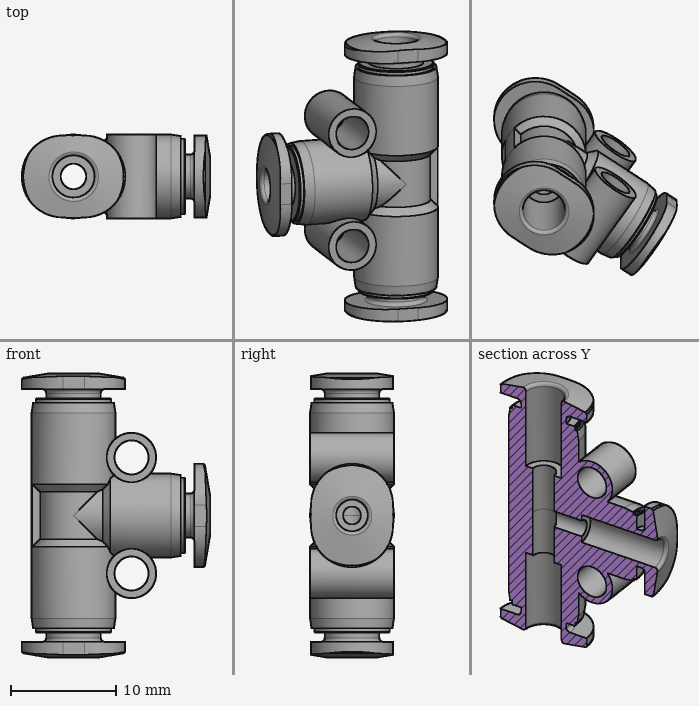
import cadquery as cq

RUN_REACH = 13.5
BRANCH_REACH = 13.0

BODY_RADIUS = 8.0 / 2
WAIST_RADIUS = 6.53 / 2
WAIST_SLOPE = BODY_RADIUS - WAIST_RADIUS
RUN_WAIST_HALF_LENGTH = 2.97
BRANCH_WAIST_END = 3.5
RIB_WIDTH = 1.55

COLLAR_DEPTH = 2.38
COLLAR_STEP_DEPTH = 2.78
TAPER_DEPTH = 3.75
COLLAR_RADIUS = 7.2 / 2
COLLAR_CHAMFER = 0.1
TAPER_RADIUS = 7.7 / 2

BUTTON_LENGTH = 9.83
BUTTON_WIDTH = 7.8
BUTTON_DEPTH = 1.5
BUTTON_CONE_RADIUS = 4.75
BUTTON_CONE_SLOPE = 0.17
BUTTON_EDGE_BEVEL = 0.15
NECK_FILLET = 0.38
RIM_ROUND = 0.35
RUN_NECK_RADIUS = 5.2 / 2
BRANCH_NECK_RADIUS = 4.2 / 2

RUN_SOCKET_RADIUS = 4.0 / 2
BRANCH_SOCKET_RADIUS = 3.0 / 2
SOCKET_LENGTH = 8.65
RUN_PASSAGE_RADIUS = 2.4 / 2
BRANCH_PASSAGE_RADIUS = 1.7 / 2

EYE_OFFSET = 5.5
EYE_RADIUS = 4.7 / 2
EYE_HOLE_RADIUS = 3.2 / 2


def revolve_z(profile):
    """Revolve a closed (radius, height) profile around Z."""
    return profile.close().revolve(360, (0, 0, 0), (0, 1, 0))


def body_half(reach, waist_end):
    """Body from the origin upward: waist, 45 degree shoulder, barrel and stepped end."""
    return revolve_z(
        cq.Workplane("XZ")
        .lineTo(WAIST_RADIUS, 0)
        .lineTo(WAIST_RADIUS, waist_end - WAIST_SLOPE)
        .lineTo(BODY_RADIUS, waist_end)
        .lineTo(BODY_RADIUS, reach - TAPER_DEPTH)
        .lineTo(TAPER_RADIUS, reach - COLLAR_STEP_DEPTH)
        .lineTo(COLLAR_RADIUS, reach - COLLAR_STEP_DEPTH)
        .lineTo(COLLAR_RADIUS, reach - COLLAR_DEPTH - COLLAR_CHAMFER)
        .lineTo(COLLAR_RADIUS - COLLAR_CHAMFER, reach - COLLAR_DEPTH)
        .lineTo(0, reach - COLLAR_DEPTH)
    )


def button(reach, neck_radius, socket_radius):
    """Oval release button with a conical face, on a filleted neck."""
    underside = reach - BUTTON_DEPTH
    mouth_radius = socket_radius + RIM_ROUND
    cone_edge = reach - BUTTON_CONE_SLOPE * (BUTTON_CONE_RADIUS - mouth_radius)
    oval = (
        cq.Workplane("XY")
        .workplane(offset=underside)
        .slot2D(BUTTON_LENGTH, BUTTON_WIDTH)
        .extrude(BUTTON_DEPTH)
    )
    crown = revolve_z(
        cq.Workplane("XZ")
        .moveTo(0, underside)
        .lineTo(BUTTON_LENGTH / 2, underside)
        .lineTo(BUTTON_LENGTH / 2, cone_edge - BUTTON_EDGE_BEVEL)
        .lineTo(BUTTON_CONE_RADIUS, cone_edge)
        .lineTo(mouth_radius, reach)
        .lineTo(0, reach)
    )
    neck = revolve_z(
        cq.Workplane("XZ")
        .moveTo(0, reach - COLLAR_STEP_DEPTH)
        .lineTo(neck_radius, reach - COLLAR_STEP_DEPTH)
        .lineTo(neck_radius, underside - NECK_FILLET)
        .radiusArc((neck_radius + NECK_FILLET, underside), NECK_FILLET)
        .lineTo(0, underside)
    )
    return oval.intersect(crown).union(neck)


def bore(reach, socket_radius, passage_radius):
    """Passage from the origin, opening into a socket with a rounded mouth."""
    return revolve_z(
        cq.Workplane("XZ")
        .lineTo(passage_radius, 0)
        .lineTo(passage_radius, reach - SOCKET_LENGTH)
        .lineTo(socket_radius, reach - SOCKET_LENGTH)
        .lineTo(socket_radius, reach - RIM_ROUND)
        .radiusArc((socket_radius + RIM_ROUND, reach), RIM_ROUND)
        .lineTo(0, reach)
    )


def onto_branch(shape):
    """Turn a +Z shape to point along +X."""
    return shape.rotate((0, 0, 0), (0, 1, 0), 90)


def both_ends(shape):
    """Join a shape with its mirror image below the XY plane."""
    return shape.union(shape.mirror("XY"))


def eyes(radius):
    """Cylinders along Y above and below the branch, as wide as the body."""
    return (
        cq.Workplane("XZ", origin=(0, BODY_RADIUS, 0))
        .pushPoints([(EYE_OFFSET, EYE_OFFSET), (EYE_OFFSET, -EYE_OFFSET)])
        .circle(radius)
        .extrude(2 * BODY_RADIUS)
    )


def waist_rib():
    """Strip of the full body radius bridging the waist on the -X side."""
    slab = cq.Workplane("XY").box(
        BODY_RADIUS, RIB_WIDTH, 2 * RUN_WAIST_HALF_LENGTH, centered=(False, True, True)
    ).translate((-BODY_RADIUS, 0, 0))
    barrel = cq.Workplane("XY").circle(BODY_RADIUS).extrude(RUN_WAIST_HALF_LENGTH, both=True)
    return slab.intersect(barrel)


run = both_ends(
    body_half(RUN_REACH, RUN_WAIST_HALF_LENGTH)
    .union(button(RUN_REACH, RUN_NECK_RADIUS, RUN_SOCKET_RADIUS))
)
branch = onto_branch(
    body_half(BRANCH_REACH, BRANCH_WAIST_END)
    .union(button(BRANCH_REACH, BRANCH_NECK_RADIUS, BRANCH_SOCKET_RADIUS))
)
fitting = run.union(branch).union(waist_rib()).union(eyes(EYE_RADIUS))

run_bore = both_ends(bore(RUN_REACH, RUN_SOCKET_RADIUS, RUN_PASSAGE_RADIUS))
branch_bore = onto_branch(bore(BRANCH_REACH, BRANCH_SOCKET_RADIUS, BRANCH_PASSAGE_RADIUS))
result = fitting.cut(run_bore).cut(branch_bore).cut(eyes(EYE_HOLE_RADIUS))